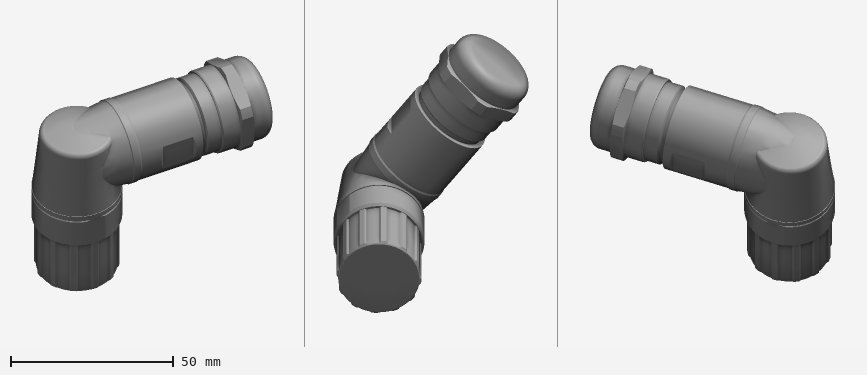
import cadquery as cq
import math


arm_taper_end = -4.55
ring_front = 12.95
ring_back = 15.9
barrel_back = 36.7
neck_front = 38.8
cap_front = 43.4
hex_front = 49.4
hex_back = 54.2
arm_back = 61.7

barrel_radius = 13.4
ring_radius = 13.6
groove_radius = 11.9
neck_radius = 12.65
taper_slope = 0.122
neck_chamfer = 0.7
ring_chamfer_length = 0.5
cap_chamfer_length = 0.45
cap_chamfer_depth = 0.2
cap_end_fillet = 3.6

hex_across_flats = 27.25
hex_corner_radius = 14.8
hex_corner_width = 3.7

wrench_flat_distance = 12.6
wrench_flat_front = 23.4
wrench_flat_back = 33.5
wrench_flat_height = 9.55

plug_bottom = -46.4
nut_bottom = -25.9
nut_top = -15.15
collar_bottom = -14.75
collar_top = -12.95
elbow_shoulder = 9.1
elbow_top = 10.75
dome_top = 11.65

collar_radius = 14.0
elbow_base_radius = 13.85
elbow_shoulder_radius = 11.65
dome_radius = 10.0
seam_radius = 13.7
nut_radius = 14.0
nut_flat_distance = 13.6
nut_chamfer = 0.75
nut_top_chamfer = 0.2
plug_radius = 12.6
plug_end_radius = 12.3

rib_count = 12
rib_top_radius = 13.1
rib_top_width = 1.7
rib_foot_width = 2.7
rib_root_depth = 0.4
plug_bevel_height = 0.7

cut_margin = 0.75


def revolve_about_y(profile):
    return profile.close().revolve(360, (0, 0, 0), (0, 1, 0))


def make_arm():
    """Tapered nose, ring, barrel, groove and neck, turned about Y."""
    taper_end_radius = barrel_radius - taper_slope * (ring_front - arm_taper_end)
    profile = (
        cq.Workplane("XY")
        .moveTo(0, arm_taper_end)
        .lineTo(taper_end_radius, arm_taper_end)
        .lineTo(barrel_radius, ring_front)
        .lineTo(ring_radius, ring_front + ring_radius - barrel_radius)
        .lineTo(ring_radius, ring_back - ring_chamfer_length)
        .lineTo(barrel_radius, ring_back)
        .lineTo(barrel_radius, barrel_back)
        .lineTo(groove_radius, barrel_back)
        .lineTo(groove_radius, neck_front - neck_chamfer)
        .lineTo(neck_radius, neck_front)
        .lineTo(neck_radius, cap_front)
        .lineTo(0, cap_front)
    )
    return revolve_about_y(profile)


def make_cap():
    """Round clamping cap with a large rounded rear edge."""
    fillet_center_radius = barrel_radius - cap_end_fillet
    fillet_start = arm_back - cap_end_fillet
    diagonal = cap_end_fillet * math.sqrt(0.5)
    profile = (
        cq.Workplane("XY")
        .moveTo(0, cap_front)
        .lineTo(barrel_radius - cap_chamfer_depth, cap_front)
        .lineTo(barrel_radius, cap_front + cap_chamfer_length)
        .lineTo(barrel_radius, fillet_start)
        .threePointArc(
            (fillet_center_radius + diagonal, fillet_start + diagonal),
            (fillet_center_radius, arm_back),
        )
        .lineTo(0, arm_back)
    )
    return revolve_about_y(profile)


def make_hexagon():
    """Hexagon with corners up and down, its corners turned and bevelled."""
    bevel = (hex_back - hex_front - hex_corner_width) / 2
    blank = revolve_about_y(
        cq.Workplane("XY")
        .moveTo(0, hex_front)
        .lineTo(barrel_radius, hex_front)
        .lineTo(hex_corner_radius, hex_front + bevel)
        .lineTo(hex_corner_radius, hex_back - bevel)
        .lineTo(barrel_radius, hex_back)
        .lineTo(0, hex_back)
    )
    across_corners = hex_across_flats / math.cos(math.pi / 6)
    prism = (
        cq.Workplane("XZ", origin=(0, hex_back, 0))
        .transformed(rotate=(0, 0, 90))
        .polygon(6, across_corners)
        .extrude(hex_back - hex_front)
    )
    return blank.intersect(prism)


def make_wrench_cutter(side):
    """Pocket with 45 degree ends; side is +1 or -1 along X."""
    outer = barrel_radius + cut_margin
    run_out = outer - wrench_flat_distance
    return (
        cq.Workplane("XY")
        .polyline([
            (side * wrench_flat_distance, wrench_flat_front),
            (side * wrench_flat_distance, wrench_flat_back),
            (side * outer, wrench_flat_back + run_out),
            (side * outer, wrench_flat_front - run_out),
        ])
        .close()
        .extrude(wrench_flat_height / 2, both=True)
    )


def make_elbow():
    """Tapered, dome-topped elbow body with its collar, turned about Z."""
    shoulder_rise = elbow_top - elbow_shoulder
    shoulder_run = elbow_shoulder_radius - dome_radius
    diagonal = math.sqrt(0.5)
    dome_sphere = (dome_radius ** 2 + (dome_top - elbow_top) ** 2) / (2 * (dome_top - elbow_top))
    dome_mid_radius = dome_radius / 2
    dome_mid_height = dome_top - dome_sphere + math.sqrt(dome_sphere ** 2 - dome_mid_radius ** 2)
    return (
        cq.Workplane("XZ")
        .moveTo(0, nut_top)
        .lineTo(seam_radius, nut_top)
        .lineTo(seam_radius, collar_bottom)
        .lineTo(collar_radius, collar_bottom)
        .lineTo(collar_radius, collar_top)
        .lineTo(elbow_base_radius, collar_top)
        .lineTo(elbow_shoulder_radius, elbow_shoulder)
        .threePointArc(
            (dome_radius + shoulder_run * diagonal, elbow_shoulder + shoulder_rise * diagonal),
            (dome_radius, elbow_top),
        )
        .threePointArc((dome_mid_radius, dome_mid_height), (0, dome_top))
        .close()
        .revolve(360, (0, 0, 0), (0, 1, 0))
    )


def make_nut():
    """Round coupling nut with one flat on each X side."""
    height = nut_top - nut_bottom
    nut = cq.Workplane("XY", origin=(0, 0, nut_bottom)).circle(nut_radius).extrude(height)
    nut = nut.faces("<Z").chamfer(nut_chamfer)
    nut = nut.faces(">Z").chamfer(nut_top_chamfer)
    flats = (
        cq.Workplane("XY", origin=(0, 0, nut_bottom))
        .rect(2 * nut_flat_distance, 2 * nut_radius + cut_margin)
        .extrude(height)
    )
    return nut.intersect(flats)


def make_rib():
    """Trapezoid grip rib on the +X side, rooted inside the plug."""
    root_radius = plug_radius - rib_root_depth
    return (
        cq.Workplane("XY", origin=(0, 0, plug_bottom))
        .polyline([
            (root_radius, -rib_foot_width / 2),
            (plug_radius, -rib_foot_width / 2),
            (rib_top_radius, -rib_top_width / 2),
            (rib_top_radius, rib_top_width / 2),
            (plug_radius, rib_foot_width / 2),
            (root_radius, rib_foot_width / 2),
        ])
        .close()
        .extrude(nut_bottom - plug_bottom)
    )


def make_plug():
    """Ribbed plug sleeve whose lower edge is bevelled across the ribs."""
    height = nut_bottom - plug_bottom
    plug = cq.Workplane("XY", origin=(0, 0, plug_bottom)).circle(plug_radius).extrude(height)
    rib = make_rib()
    for index in range(rib_count):
        plug = plug.union(rib.rotate((0, 0, 0), (0, 0, 1), index * 360 / rib_count))
    envelope_radius = rib_top_radius + cut_margin
    bevel_slope = plug_bevel_height / (rib_top_radius - plug_end_radius)
    envelope = (
        cq.Workplane("XZ")
        .moveTo(0, plug_bottom)
        .lineTo(plug_end_radius, plug_bottom)
        .lineTo(envelope_radius, plug_bottom + bevel_slope * (envelope_radius - plug_end_radius))
        .lineTo(envelope_radius, nut_bottom)
        .lineTo(0, nut_bottom)
        .close()
        .revolve(360, (0, 0, 0), (0, 1, 0))
    )
    return plug.intersect(envelope)


arm = make_arm()
for x_side in (-1, 1):
    arm = arm.cut(make_wrench_cutter(x_side))

result = (
    arm.union(make_cap())
    .union(make_hexagon())
    .union(make_elbow())
    .union(make_nut())
    .union(make_plug())
)